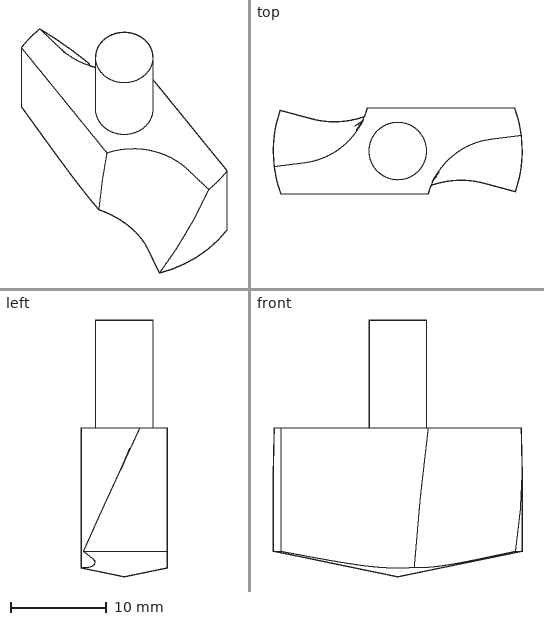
import cadquery as cq
import math

total_height = 26.8
cutting_radius = 13.0
blade_thickness = 8.98
blade_top = 15.55
tip_height = 2.68
shank_diameter = 6.0

flute_top_angle = 7.2
flute_twist = 31.8
straight_inner_radius = 9.78
flute_arc_radius = 7.75
cutter_reach = 17.42


def polar(radius, angle):
    """Point at the given radius and angle in degrees."""
    radians = math.radians(angle)
    return radius * math.cos(radians), radius * math.sin(radians)


def make_blade():
    """Body of revolution with a conical point, cut down to a flat slab."""
    body = (
        cq.Workplane("XZ")
        .moveTo(0, 0)
        .lineTo(cutting_radius, tip_height)
        .lineTo(cutting_radius, blade_top)
        .lineTo(0, blade_top)
        .close()
        .revolve(360, (0, 0, 0), (0, 1, 0))
    )
    slab = cq.Workplane("XY").box(
        2 * cutter_reach, blade_thickness, blade_top, centered=(True, True, False)
    )
    return body.intersect(slab)


def make_flute():
    """Twisted cutter for the flute on the +X, -Y side."""
    wall_outer = polar(cutter_reach, flute_top_angle)
    wall_inner = polar(straight_inner_radius, flute_top_angle)
    normal_x, normal_y = polar(flute_arc_radius, flute_top_angle - 90)
    center_x = wall_inner[0] + normal_x
    center_y = wall_inner[1] + normal_y
    arc_end = (center_x - flute_arc_radius, center_y)
    middle_x, middle_y = polar(flute_arc_radius, (flute_top_angle + 90 + 180) / 2)
    arc_middle = (center_x + middle_x, center_y + middle_y)

    return (
        cq.Workplane("XY")
        .moveTo(*wall_outer)
        .lineTo(*wall_inner)
        .threePointArc(arc_middle, arc_end)
        .lineTo(arc_end[0], -cutter_reach)
        .lineTo(wall_outer[0], -cutter_reach)
        .close()
        .twistExtrude(blade_top, flute_twist)
        .rotate((0, 0, 0), (0, 0, 1), -flute_twist)
    )


def make_shank():
    """Round shank standing on the blade."""
    return (
        cq.Workplane("XY")
        .workplane(offset=blade_top)
        .circle(shank_diameter / 2)
        .extrude(total_height - blade_top)
    )


flute = make_flute()
opposite_flute = flute.rotate((0, 0, 0), (0, 0, 1), 180)
result = make_blade().cut(flute).cut(opposite_flute).union(make_shank())